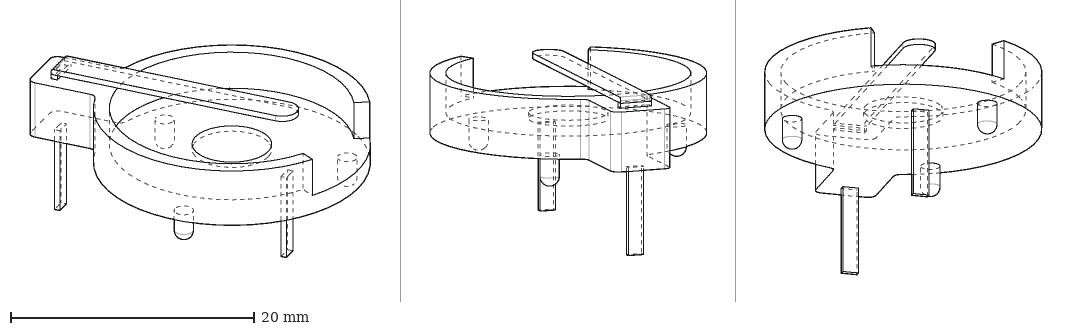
import cadquery as cq
import math


outer_radius = 11.4
pocket_radius = 10.07
housing_height = 5.02
floor_height = 1.7
opening_half_angle = 30.0
total_length = 28.7
arm_end_x = outer_radius - total_length
arm_width = 5.17
corner_radius = 0.7

sheet_thickness = 0.5
contact_radius = 3.27

strip_start_x = -15.73
strip_end_x = 5.88
strip_width = 2.7
strip_top = 5.9
strip_bottom = strip_top - sheet_thickness
bend_radius = 0.25
riser_length = 0.57

pin_width = 1.35
pin_length = 7.38
pin_start_positions = [strip_start_x, 4.74]

post_radius = 0.8
post_length = 2.6
post_circle_radius = 9.53
post_angles = [30.0, 150.0, 270.0]


def make_housing():
    """Round tray with a side arm, a cell pocket, a wall opening and a contact recess."""
    body = cq.Workplane("XY").circle(outer_radius).extrude(housing_height)
    arm = (
        cq.Workplane("XY")
        .box(-arm_end_x, arm_width, housing_height, centered=(False, True, False))
        .translate((arm_end_x, 0, 0))
        .edges("|Z and <X")
        .fillet(corner_radius)
    )
    body = body.union(arm)

    neck_x = -math.sqrt(outer_radius**2 - (arm_width / 2) ** 2)
    neck_edges = cq.selectors.BoxSelector(
        (neck_x - 0.3, -arm_width, 0), (neck_x + 0.3, arm_width, housing_height)
    )
    body = body.edges("|Z").edges(neck_edges).fillet(corner_radius)

    wall_height = housing_height - floor_height
    floor_plane = cq.Workplane("XY").workplane(offset=floor_height)
    pocket = floor_plane.circle(pocket_radius).extrude(wall_height)

    sector_x = 2 * outer_radius
    sector_y = sector_x * math.tan(math.radians(opening_half_angle))
    opening = (
        floor_plane.polyline([(0, 0), (sector_x, -sector_y), (sector_x, sector_y)])
        .close()
        .extrude(wall_height)
    )
    return body.cut(pocket).cut(opening).cut(make_contact())


def make_contact():
    """Contact disc set flush into the pocket floor."""
    return (
        cq.Workplane("XY")
        .workplane(offset=floor_height - sheet_thickness)
        .circle(contact_radius)
        .extrude(sheet_thickness)
    )


def make_strip():
    """Flat spring strip with a full-round free end and a rounded top edge at the arm."""
    half_width = strip_width / 2
    round_center_x = strip_end_x - half_width
    return (
        cq.Workplane("XY")
        .workplane(offset=strip_bottom)
        .moveTo(strip_start_x, -half_width)
        .lineTo(round_center_x, -half_width)
        .threePointArc((strip_end_x, 0), (round_center_x, half_width))
        .lineTo(strip_start_x, half_width)
        .close()
        .extrude(sheet_thickness)
        .edges("<X and >Z")
        .fillet(bend_radius)
    )


def make_riser():
    """Short block that carries the strip above the arm."""
    riser_height = strip_bottom - housing_height
    return (
        cq.Workplane("XY")
        .box(riser_length, strip_width, riser_height, centered=(False, True, False))
        .translate((strip_start_x, 0, housing_height))
    )


def make_pin(start_x):
    """Flat solder pin hanging from the underside of the housing."""
    return (
        cq.Workplane("XY")
        .box(sheet_thickness, pin_width, pin_length, centered=(False, True, False))
        .translate((start_x, 0, -pin_length))
    )


def make_post(angle):
    """Round locating post with a hemispherical tip, placed by its angle about the cell axis."""
    straight_length = post_length - post_radius
    x = post_circle_radius * math.cos(math.radians(angle))
    y = post_circle_radius * math.sin(math.radians(angle))
    shank = cq.Workplane("XY").circle(post_radius).extrude(-straight_length)
    tip = cq.Workplane("XY").sphere(post_radius).translate((0, 0, -straight_length))
    return shank.union(tip).translate((x, y, 0))


housing = make_housing()
contact = make_contact()
strip = make_strip()
riser = make_riser()
pins = [make_pin(start_x) for start_x in pin_start_positions]
posts = [make_post(angle) for angle in post_angles]

result = cq.Compound.makeCompound(
    [
        housing.val(),
        contact.val(),
        strip.val(),
        riser.val(),
        *[pin.val() for pin in pins],
        *[post.val() for post in posts],
    ]
)